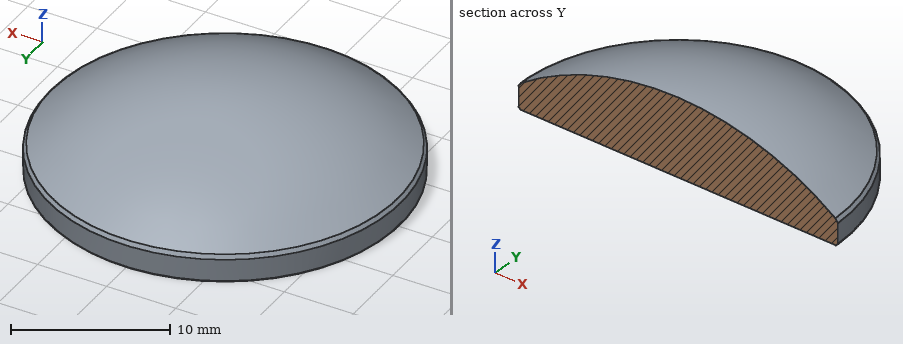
import cadquery as cq

diameter = 25.4
height = 6.1
dome_base_height = 2.05
upper_bevel_width = 0.2
upper_bevel_height = 0.28
lower_bevel = 0.18

rim_radius = diameter / 2
dome_edge_radius = rim_radius - upper_bevel_width
rim_top = dome_base_height - upper_bevel_height

dome_rise = height - dome_base_height
sphere_radius = (dome_edge_radius**2 + dome_rise**2) / (2 * dome_rise)
sphere_center_height = height - sphere_radius

mid_radius = dome_edge_radius / 2
mid_height = sphere_center_height + (sphere_radius**2 - mid_radius**2) ** 0.5

half_section = (
    cq.Workplane("XZ")
    .moveTo(0, 0)
    .lineTo(rim_radius - lower_bevel, 0)
    .lineTo(rim_radius, lower_bevel)
    .lineTo(rim_radius, rim_top)
    .lineTo(dome_edge_radius, dome_base_height)
    .threePointArc((mid_radius, mid_height), (0, height))
    .close()
)

result = half_section.revolve(360, (0, 0, 0), (0, 1, 0))